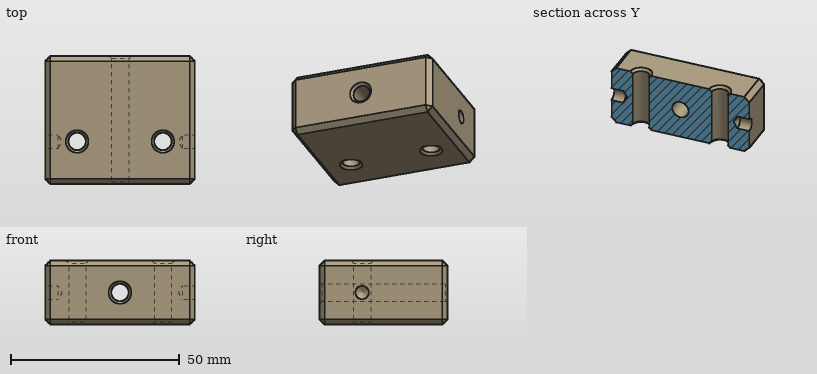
import cadquery as cq
import math

length_x = 44.45
width_y = 38.1
height_z = 19.05
edge_chamfer = 1.6

bore_diameter = 5.1
countersink_diameter = 6.7
countersink_angle = 90.0
vertical_hole_x = 12.7
hole_row_y = -6.35

side_hole_diameter = 3.95
side_hole_depth = 3.82
drill_point_angle = 118.0


def double_countersunk_bore(span):
    """Through-bore cutter along Z, centred on the origin and countersunk at both ends."""
    bore_radius = bore_diameter / 2
    sink_radius = countersink_diameter / 2
    sink_depth = (sink_radius - bore_radius) / math.tan(math.radians(countersink_angle / 2))
    end = span / 2
    return (
        cq.Workplane("XZ")
        .moveTo(0, -end)
        .lineTo(sink_radius, -end)
        .lineTo(bore_radius, -end + sink_depth)
        .lineTo(bore_radius, end - sink_depth)
        .lineTo(sink_radius, end)
        .lineTo(0, end)
        .close()
        .revolve(360, (0, 0, 0), (0, 1, 0))
    )


def side_hole():
    """Blind hole cutter entering the -X face, ending in a cone."""
    radius = side_hole_diameter / 2
    point_length = radius / math.tan(math.radians(drill_point_angle / 2))
    face_x = -length_x / 2
    shoulder_x = face_x + side_hole_depth
    return (
        cq.Workplane("XY")
        .moveTo(face_x, 0)
        .lineTo(face_x, radius)
        .lineTo(shoulder_x, radius)
        .lineTo(shoulder_x + point_length, 0)
        .close()
        .revolve(360, (0, 0, 0), (1, 0, 0))
        .translate((0, hole_row_y, 0))
    )


result = cq.Workplane("XY").box(length_x, width_y, height_z).edges().chamfer(edge_chamfer)

for hole_x in (-vertical_hole_x, vertical_hole_x):
    result = result.cut(double_countersunk_bore(height_z).translate((hole_x, hole_row_y, 0)))

result = result.cut(double_countersunk_bore(width_y).rotate((0, 0, 0), (1, 0, 0), 90))

result = result.cut(side_hole())
result = result.cut(side_hole().mirror("YZ"))